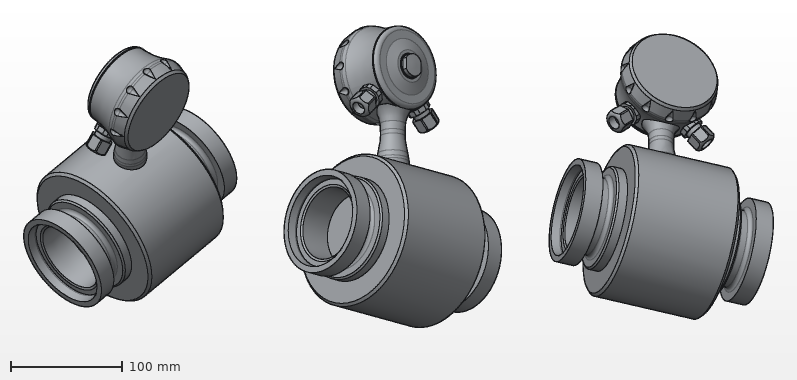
import cadquery as cq
import math

overall_height = 274.8
pipe_length = 180.0

body_radius = 70.0
body_length = 100.0
body_chamfer = 2.5
flange_radius = 95.0 / 2
flange_thickness = 16.5
collar_thickness = 10.0
collar_chamfer = 1.6
neck_radius = 71.0 / 2
neck_fillet = 3.8

mouth_radius = 83.8 / 2
recess_radius = 81.0 / 2
recess_taper_depth = 7.7
recess_depth = 9.0
lip_radius = 71.0 / 2
lip_depth = 0.8
bore_radius = 33.2
bore_end_radius = 32.7

stem_base_radius = 30.0 / 2
stem_base_top = 73.6
stem_shoulder_top = 76.5
stem_shoulder_radius = 14.5
stem_taper_start = 81.3
stem_taper_radius = 13.7
stem_radius = 11.3
stem_waist_bottom = 97.8
stem_waist_top = 102.0
stem_flare_start = 109.4
stem_flare_start_radius = 11.5
stem_flare_mid = 117.0
stem_flare_mid_radius = 13.5
stem_flare_top = 123.6
stem_flare_radius = 17.5

cap_radius = 45.5
cap_edge_radius = 44.5
cap_front_radius = 42.5
cap_end_radius = 40.7
cap_start = 15.0
cap_crest_start = 19.0
cap_crest_end = 21.2
cap_taper_end = 32.0
cap_end = 34.5

shell_radius = 38.5
shell_mid_radius = 39.8
shell_mid = 0.8
shell_back = -19.0
shell_back_fillet = 4.5
seam_start = -14.8
seam_width = 1.0
seam_depth = 0.3

back_cone_radius = 26.0
back_boss_radius = 30.0 / 2
back_boss_face = -22.3

plug_base_radius = 23.5 / 2
plug_base_tip_radius = 22 / 2
plug_base_face = -22.8
plug_radius = 21.0 / 2
plug_edge = -27.2
plug_tip = -27.8
plug_across_flats = 18.0

notch_count = 12
notch_radius = 3.5
notch_start = 20.5
notch_tip = 31.3

hexagon_sides = 6
gland_x = -2.2
gland_tilt_from_down = 45
gland_body_radius = 16.0 / 2
gland_collar_start = 39.0
gland_collar_end = 44.5
gland_collar_corners = 23.5
gland_collar_edge_chamfer = 2.5
gland_nut_start = 49.2
gland_nut_end = 63.0
gland_nut_corners = 22.5
gland_nut_edge_chamfer = 0.8
gland_nut_rounding = 4.7
gland_hole_radius = 12.0 / 2
gland_hole_depth = 8.2

crest_height = math.sqrt(cap_radius**2 - notch_radius**2)
head_z = overall_height - body_radius - crest_height


def make_pipe():
    """Drum-shaped body with a hollow connection on each end, all turned about Y."""
    body = cq.Workplane("XZ", origin=(0, body_length / 2, 0)).circle(body_radius).extrude(body_length)
    body = body.faces("<Y or >Y").edges().chamfer(body_chamfer)
    connection = make_connection()
    return body.union(connection).union(connection.mirror("XZ"))


def make_connection():
    """Collar, neck and flange of one end; its stepped bore stops at the body face."""
    end = pipe_length / 2
    body_end = body_length / 2
    collar_end = body_end + collar_thickness
    flange_start = end - flange_thickness
    arc_offset = neck_fillet * (1 - math.sqrt(0.5))
    return (
        cq.Workplane("XY")
        .moveTo(bore_end_radius, body_end)
        .lineTo(flange_radius, body_end)
        .lineTo(flange_radius, collar_end - collar_chamfer)
        .lineTo(flange_radius - collar_chamfer, collar_end)
        .lineTo(neck_radius + neck_fillet, collar_end)
        .threePointArc(
            (neck_radius + arc_offset, collar_end + arc_offset),
            (neck_radius, collar_end + neck_fillet),
        )
        .lineTo(neck_radius, flange_start - neck_fillet)
        .threePointArc(
            (neck_radius + arc_offset, flange_start - arc_offset),
            (neck_radius + neck_fillet, flange_start),
        )
        .lineTo(flange_radius, flange_start)
        .lineTo(flange_radius, end)
        .lineTo(mouth_radius, end)
        .lineTo(recess_radius, end - recess_taper_depth)
        .lineTo(recess_radius, end - recess_depth)
        .lineTo(lip_radius, end - recess_depth)
        .lineTo(bore_radius, end - recess_depth - lip_depth)
        .close()
        .revolve(360, (0, 0), (0, 1))
    )


def make_stem():
    """Waisted stem turned about Z, from inside the body up into the head."""
    taper_direction = (stem_taper_radius - stem_shoulder_radius, stem_taper_start - stem_shoulder_top)
    return (
        cq.Workplane("XZ")
        .moveTo(0, body_radius - stem_base_radius)
        .lineTo(stem_base_radius, body_radius - stem_base_radius)
        .lineTo(stem_base_radius, stem_base_top)
        .lineTo(stem_shoulder_radius, stem_shoulder_top)
        .lineTo(stem_taper_radius, stem_taper_start)
        .spline([(stem_radius, stem_waist_bottom)], tangents=[taper_direction, (0, 1)], includeCurrent=True)
        .lineTo(stem_radius, stem_waist_top)
        .lineTo(stem_flare_start_radius, stem_flare_start)
        .threePointArc(
            (stem_flare_mid_radius, stem_flare_mid),
            (stem_flare_radius, stem_flare_top),
        )
        .lineTo(0, stem_flare_top + stem_flare_radius)
        .close()
        .revolve(360, (0, 0), (0, 1))
    )


def make_head():
    """Shell, back cone, plug and cap turned about the X axis of the head."""
    seam_end = seam_start + seam_width
    fillet_edge = shell_radius - shell_back_fillet
    arc_offset = shell_back_fillet * (1 - math.sqrt(0.5))
    plug = (
        cq.Workplane("XZ")
        .moveTo(0, 0)
        .lineTo(plug_tip, 0)
        .lineTo(plug_edge, plug_radius)
        .lineTo(0, plug_radius)
        .close()
        .revolve(360, (0, 0), (1, 0))
    )
    flats = cq.Workplane("XY").box(-2 * plug_tip, plug_across_flats, 2 * plug_radius)
    profile = (
        cq.Workplane("XZ")
        .moveTo(cap_end, 0)
        .lineTo(plug_base_face, 0)
        .lineTo(plug_base_face, plug_base_tip_radius)
        .lineTo(back_boss_face, plug_base_radius)
        .lineTo(back_boss_face, back_boss_radius)
        .lineTo(shell_back, back_cone_radius)
        .lineTo(shell_back, fillet_edge)
        .threePointArc(
            (shell_back + arc_offset, shell_radius - arc_offset),
            (shell_back + shell_back_fillet, shell_radius),
        )
        .lineTo(seam_end, shell_radius)
        .threePointArc((shell_mid, shell_mid_radius), (cap_start, cap_edge_radius))
        .lineTo(cap_crest_start, cap_radius)
        .lineTo(cap_crest_end, cap_radius)
        .lineTo(cap_taper_end, cap_front_radius)
        .lineTo(cap_end, cap_end_radius)
        .lineTo(cap_end, 0)
        .close()
    )
    head = profile.revolve(360, (0, 0), (1, 0))
    seam = (
        cq.Workplane("YZ", origin=(seam_start, 0, 0))
        .circle(cap_radius)
        .circle(shell_radius - seam_depth)
        .extrude(seam_width)
    )
    head = head.cut(seam).union(plug.intersect(flats))
    for index in range(notch_count):
        head = head.cut(make_notch().rotate((0, 0, 0), (1, 0, 0), index * 360 / notch_count))
    return head.translate((0, 0, head_z))


def make_notch():
    """Teardrop cutter: a round nose running into a conical tail, its axis following the taper of the cap."""
    tail_length = notch_tip - notch_start
    cap_taper = (cap_radius - cap_front_radius) / (cap_taper_end - cap_crest_end)
    tangent_x = notch_radius**2 / tail_length
    tangent_y = math.sqrt(notch_radius**2 - tangent_x**2)
    cutter = (
        cq.Workplane("XZ")
        .moveTo(-notch_radius, 0)
        .threePointArc((0, notch_radius), (tangent_x, tangent_y))
        .lineTo(tail_length, 0)
        .close()
        .revolve(360, (0, 0), (1, 0))
    )
    tilt = math.degrees(math.atan(cap_taper))
    return cutter.rotate((0, 0, 0), (0, 1, 0), tilt).translate((notch_start, 0, cap_radius))


def make_gland():
    """Cable gland built along +Z from the head axis, hexagon corners toward X."""
    gland = cq.Workplane("XY").circle(gland_body_radius).extrude(gland_nut_start)
    collar = (
        cq.Workplane("XY", origin=(0, 0, gland_collar_start))
        .polygon(hexagon_sides, gland_collar_corners)
        .extrude(gland_collar_end - gland_collar_start)
        .edges("|Z")
        .chamfer(gland_collar_edge_chamfer)
    )
    nut = (
        cq.Workplane("XY", origin=(0, 0, gland_nut_start))
        .polygon(hexagon_sides, gland_nut_corners)
        .extrude(gland_nut_end - gland_nut_start)
        .edges("|Z")
        .chamfer(gland_nut_edge_chamfer)
    )
    corner_radius = gland_nut_corners / 2
    arc_offset = gland_nut_rounding * (1 - math.sqrt(0.5))
    rounding = (
        cq.Workplane("XZ")
        .moveTo(0, 0)
        .lineTo(corner_radius, 0)
        .lineTo(corner_radius, gland_nut_end - gland_nut_rounding)
        .threePointArc(
            (corner_radius - arc_offset, gland_nut_end - arc_offset),
            (corner_radius - gland_nut_rounding, gland_nut_end),
        )
        .lineTo(0, gland_nut_end)
        .close()
        .revolve(360, (0, 0), (0, 1))
    )
    hole = (
        cq.Workplane("XY", origin=(0, 0, gland_nut_end - gland_hole_depth))
        .circle(gland_hole_radius)
        .extrude(gland_hole_depth)
    )
    return gland.union(collar).union(nut.intersect(rounding)).cut(hole)


result = make_pipe().union(make_stem()).union(make_head())
for side in (-1, 1):
    tilt = side * (180 - gland_tilt_from_down)
    gland = make_gland().rotate((0, 0, 0), (1, 0, 0), tilt)
    result = result.union(gland.translate((gland_x, 0, head_z)))